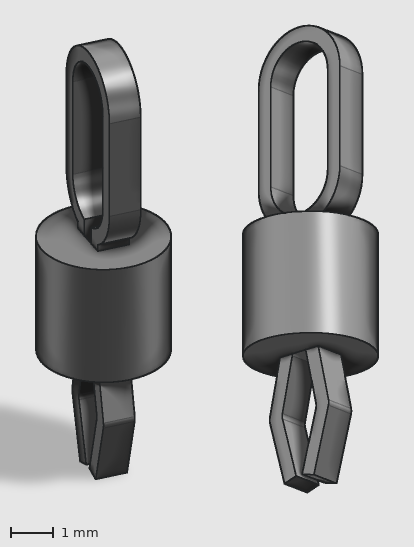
import cadquery as cq
import math

strip_thickness = 0.38
strip_width = 0.8

body_diameter = 3.18
body_height = 3.04

loop_radius = 1.28
loop_straight = 2.5
loop_rise = 1.3
loop_lower_center = body_height + loop_rise
loop_middle = loop_lower_center + loop_straight / 2
neck_gap = 0.43
neck_outer = neck_gap / 2 + strip_thickness

bend_x = 0.94
bend_depth = 1.49
tip_x = 0.46
tip_depth = 3.19
bend_radius = 0.27


def strip_sketch():
    """Workplane on the middle plane of the strip width."""
    return cq.Workplane("XZ")


def loop_stadium(radius):
    """Upright stadium with semicircular ends at the loop's two centres."""
    length = loop_straight + 2 * radius
    sketch = strip_sketch().center(0, loop_middle).slot2D(length, 2 * radius, angle=90)
    return sketch.extrude(strip_width / 2, both=True)


def neck_block(width):
    """Centred block from the body top up to the lower centre of the loop."""
    sketch = strip_sketch().center(0, body_height + loop_rise / 2).rect(width, loop_rise)
    return sketch.extrude(strip_width / 2, both=True)


def make_loop():
    """Closed loop opened at the bottom, with two short strips entering the body."""
    loop = loop_stadium(loop_radius).union(neck_block(2 * neck_outer))
    loop = loop.cut(loop_stadium(loop_radius - strip_thickness))
    return loop.cut(neck_block(neck_gap))


def make_leg():
    """Right-hand leg: a strip of constant thickness inside its bent outer edge."""
    spread_angle = math.atan2(bend_x - neck_outer, bend_depth)
    closing_angle = math.atan2(bend_x - tip_x, tip_depth - bend_depth)

    miter_length = strip_thickness / math.cos((spread_angle + closing_angle) / 2)
    miter_tilt = (closing_angle - spread_angle) / 2
    inner_bend = (
        bend_x - miter_length * math.cos(miter_tilt),
        -bend_depth + miter_length * math.sin(miter_tilt),
    )
    inner_tip = (
        tip_x - strip_thickness * math.cos(closing_angle),
        -tip_depth + strip_thickness * math.sin(closing_angle),
    )
    inner_root = (neck_gap / 2, 0)
    inner_spread_start = (neck_gap / 2, -strip_thickness * math.tan(spread_angle / 2))

    outline = [
        (neck_outer, 0),
        (bend_x, -bend_depth),
        (tip_x, -tip_depth),
        inner_tip,
        inner_bend,
        inner_spread_start,
        inner_root,
    ]
    leg = strip_sketch().polyline(outline).close().extrude(strip_width / 2, both=True)

    for x, z in [(bend_x, -bend_depth), inner_bend]:
        leg = leg.edges(cq.selectors.NearestToPointSelector((x, 0, z))).fillet(bend_radius)
    return leg


def make_body():
    """Cylinder with the gap between the strips running through its full height."""
    cylinder = cq.Workplane("XY").circle(body_diameter / 2).extrude(body_height)
    channel = cq.Workplane("XY").rect(neck_gap, strip_width).extrude(body_height)
    return cylinder.cut(channel)


right_leg = make_leg()
left_leg = right_leg.mirror("YZ")

result = make_body().union(make_loop()).union(right_leg).union(left_leg)